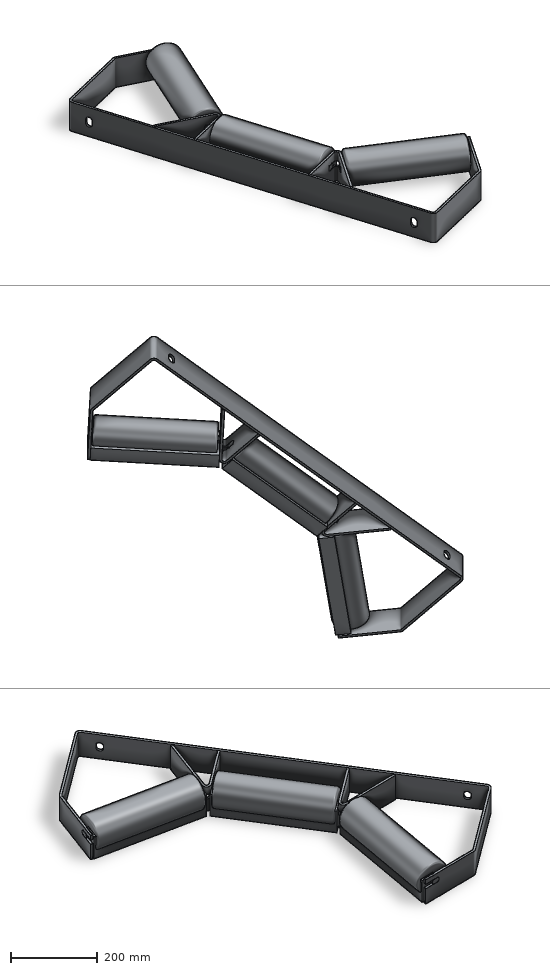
import cadquery as cq
import math


frame_length = 980.0
strip_width = 80.0
strip_thickness = 6.0
bend_radius = 6.0
post_height = 212.0
arm_length = 144.0
trough_angle = 40.0
base_slot_width = 18.0
base_slot_height = 26.0
base_slot_inset = 57.0

roller_diameter = 89.0
roller_length = 290.0
roller_edge_fillet = 6.0
roller_tilt = 1.9
plate_gap = 299.0
shaft_diameter = 20.0
shaft_flats = 15.0
keel_width = 36.0
keel_depth = 53.0
keel_rise = 20.0
middle_axis_y = 100.0
middle_axis_z = 48.0
side_axis_z = 53.0
side_axis_offset = -31.0

slot_reach = 78.0
slot_overrun = 5.0

half_length = frame_length / 2
outer_bend_radius = bend_radius + strip_thickness
cos_trough = math.cos(math.radians(trough_angle))
sin_trough = math.sin(math.radians(trough_angle))

arm_start_x = -half_length + outer_bend_radius - bend_radius * cos_trough
arm_start_y = post_height + bend_radius * sin_trough
arm_station = arm_start_x * cos_trough - arm_start_y * sin_trough

side_station = arm_station + plate_gap / 2
side_x = side_station * cos_trough + side_axis_offset * sin_trough
side_y = -side_station * sin_trough + side_axis_offset * cos_trough

shaft_half_length = plate_gap / 2 + strip_thickness


def place_middle(body):
    return body.translate((0, middle_axis_y, middle_axis_z))


def place_left(body):
    return body.rotate((0, 0, 0), (0, 0, 1), -trough_angle).translate((side_x, side_y, side_axis_z))


def tilt_down(body, tilt):
    """Lower the +X end of a body that lies along X."""
    return body.rotate((0, 0, 0), (0, 1, 0), tilt)


def mirror_to_right(body):
    return body.mirror("YZ")


def make_shaft_section(length):
    """Round bar along X with two flats."""
    flats = cq.Workplane().box(length, shaft_diameter, shaft_flats)
    return cq.Workplane("YZ").circle(shaft_diameter / 2).extrude(length / 2, both=True).intersect(flats)


def make_roller(tilt):
    """Roller along X with its flatted shaft and a keel under its +Y half."""
    shell = (
        cq.Workplane("YZ").circle(roller_diameter / 2).extrude(roller_length / 2, both=True)
        .edges("%CIRCLE").fillet(roller_edge_fillet)
    )
    shaft = make_shaft_section(2 * shaft_half_length)
    keel_height = keel_depth + keel_rise
    keel = (
        cq.Workplane().box(2 * shaft_half_length, keel_width, keel_height, centered=(True, False, False))
        .translate((0, 0, -keel_depth))
    )
    between_plates = cq.Workplane().box(plate_gap, 2 * roller_diameter, 2 * roller_diameter)
    keel = tilt_down(keel, tilt).intersect(between_plates)
    return tilt_down(shell.union(shaft), tilt).union(keel)


def make_shaft_slots(tilt):
    """Cutters for the open slots that hold both shaft ends of one roller."""
    cutter_length = 2 * (shaft_half_length + slot_overrun)
    opening = cq.Workplane().box(cutter_length, slot_reach, shaft_flats, centered=(True, False, True))
    cutters = make_shaft_section(cutter_length).union(opening)
    return tilt_down(cutters.cut(cq.Workplane().box(roller_length, 2 * slot_reach, shaft_flats)), tilt)


def make_frame():
    """Bent strip: base, two posts and two leaning arms."""
    arm_end_x = arm_start_x + arm_length * sin_trough
    arm_end_y = arm_start_y + arm_length * cos_trough
    corner_x = half_length - outer_bend_radius
    half_turn = math.radians(trough_angle / 2)

    def bend_point(radius, angle):
        return (-corner_x - radius * math.cos(angle), post_height + radius * math.sin(angle))

    def corner_point(radius):
        reach = radius * math.sqrt(0.5)
        return (-corner_x - reach, outer_bend_radius - reach)

    left_half = (
        cq.Workplane().moveTo(0, 0).lineTo(-corner_x, 0)
        .threePointArc(corner_point(outer_bend_radius), (-half_length, outer_bend_radius))
        .lineTo(-half_length, post_height)
        .threePointArc(bend_point(outer_bend_radius, half_turn), bend_point(outer_bend_radius, 2 * half_turn))
        .lineTo(arm_end_x - strip_thickness * cos_trough, arm_end_y + strip_thickness * sin_trough)
        .lineTo(arm_end_x, arm_end_y)
        .lineTo(arm_start_x, arm_start_y)
        .threePointArc(bend_point(bend_radius, half_turn), bend_point(bend_radius, 0))
        .lineTo(-half_length + strip_thickness, outer_bend_radius)
        .threePointArc(corner_point(bend_radius), (-corner_x, strip_thickness))
        .lineTo(0, strip_thickness).close().extrude(strip_width)
    )
    left_half = left_half.cut(place_left(make_shaft_slots(roller_tilt)))
    base_slot = (
        cq.Workplane("XZ").center(-half_length + base_slot_inset, strip_width / 2)
        .slot2D(base_slot_height, base_slot_width, 90).extrude(2 * strip_thickness, both=True)
    )
    left_half = left_half.cut(base_slot)
    return left_half.union(mirror_to_right(left_half)).clean()


def make_left_bracket():
    """Inverted V of bent strip carrying the inner end of a side roller and one end of the middle one."""
    leg_x = -shaft_half_length
    slope_station = arm_station + plate_gap + strip_thickness
    bend_x = leg_x - bend_radius
    bend_y = (bend_x * cos_trough - slope_station - bend_radius) / sin_trough
    peak_angle = math.radians(90 + trough_angle) / 2

    def straight_point(radius):
        return (bend_x + radius, bend_y)

    def peak_point(radius):
        return (bend_x + radius * math.cos(peak_angle), bend_y + radius * math.sin(peak_angle))

    def sloped_point(radius):
        return (bend_x - radius * cos_trough, bend_y + radius * sin_trough)

    slope_top_x, slope_top_y = sloped_point(bend_radius)
    foot_x = slope_top_x - (slope_top_y - strip_thickness) * sin_trough / cos_trough
    bracket = (
        cq.Workplane().moveTo(leg_x, strip_thickness).lineTo(leg_x + strip_thickness, strip_thickness)
        .lineTo(*straight_point(outer_bend_radius))
        .threePointArc(peak_point(outer_bend_radius), sloped_point(outer_bend_radius))
        .lineTo(foot_x - strip_thickness * cos_trough, strip_thickness * (1 + sin_trough))
        .lineTo(foot_x, strip_thickness)
        .lineTo(slope_top_x, slope_top_y)
        .threePointArc(peak_point(bend_radius), straight_point(bend_radius))
        .close().extrude(strip_width)
    )
    return bracket.cut(place_left(make_shaft_slots(roller_tilt))).cut(place_middle(make_shaft_slots(0)))


frame = make_frame()
left_bracket = make_left_bracket()
brackets = [left_bracket, mirror_to_right(left_bracket)]
left_roller = place_left(make_roller(roller_tilt))
rollers = [left_roller, place_middle(make_roller(0)), mirror_to_right(left_roller)]

result = cq.Compound.makeCompound([body.val() for body in [frame, *brackets, *rollers]])